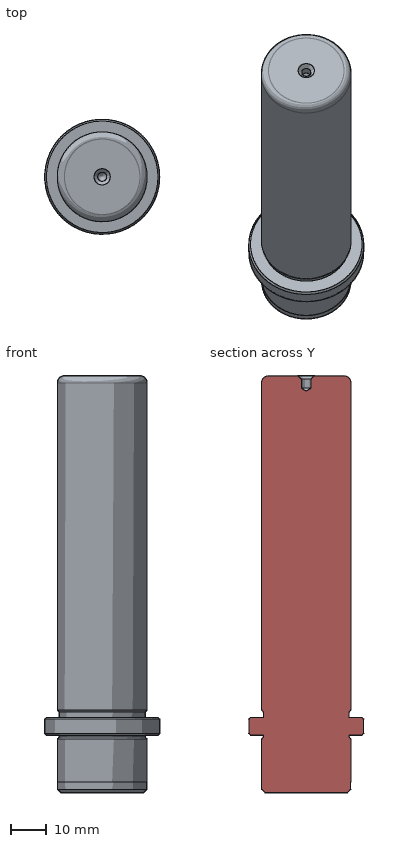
import cadquery as cq
import math

total_length = 116.0
collar_bottom = 16.0
collar_thickness = 5.0
collar_top = collar_bottom + collar_thickness

shaft_diameter = 25.0
neck_diameter = 24.0
pilot_diameter = 24.9
collar_diameter = 32.0

upper_neck_width = 2.0
lower_neck_width = 1.0

top_fillet = 2.0
collar_chamfer = 0.5
bottom_chamfer = 1.0
pilot_length = 3.0

centre_mouth_diameter = 4.5
centre_drill_diameter = 2.5
centre_cone_angle = 90.0
centre_drill_length = 2.5
centre_tip_angle = 120.0


def revolve_about_z(profile):
    """Turn a half-profile drawn on the XZ plane a full turn about the Z axis."""
    return profile.revolve(axisStart=(0, 0, 0), axisEnd=(0, 1, 0))


def make_body():
    """Revolve the stepped half-profile (radius, height) about the Z axis."""
    shaft_radius = shaft_diameter / 2
    neck_radius = neck_diameter / 2
    pilot_radius = pilot_diameter / 2
    collar_radius = collar_diameter / 2
    neck_depth = shaft_radius - neck_radius

    lower_shoulder = collar_bottom - lower_neck_width
    upper_shoulder = collar_top + upper_neck_width
    fillet_middle = top_fillet * (1 - math.sin(math.radians(45)))

    profile = (
        cq.Workplane("XZ")
        .lineTo(pilot_radius - bottom_chamfer, 0)
        .lineTo(pilot_radius, bottom_chamfer)
        .lineTo(pilot_radius, pilot_length)
        .lineTo(shaft_radius, pilot_length)
        .lineTo(shaft_radius, lower_shoulder)
        .lineTo(neck_radius, lower_shoulder + neck_depth)
        .lineTo(neck_radius, collar_bottom)
        .lineTo(collar_radius - collar_chamfer, collar_bottom)
        .lineTo(collar_radius, collar_bottom + collar_chamfer)
        .lineTo(collar_radius, collar_top - collar_chamfer)
        .lineTo(collar_radius - collar_chamfer, collar_top)
        .lineTo(neck_radius, collar_top)
        .lineTo(neck_radius, upper_shoulder - neck_depth)
        .lineTo(shaft_radius, upper_shoulder)
        .lineTo(shaft_radius, total_length - top_fillet)
        .threePointArc(
            (shaft_radius - fillet_middle, total_length - fillet_middle),
            (shaft_radius - top_fillet, total_length),
        )
        .lineTo(0, total_length)
        .close()
    )
    return revolve_about_z(profile)


def make_centre_hole():
    """Centre-drill cutter: conical mouth, short drill hole and conical tip."""
    mouth_radius = centre_mouth_diameter / 2
    drill_radius = centre_drill_diameter / 2
    cone_depth = (mouth_radius - drill_radius) / math.tan(math.radians(centre_cone_angle / 2))
    tip_depth = drill_radius / math.tan(math.radians(centre_tip_angle / 2))

    cone_end = total_length - cone_depth
    drill_end = cone_end - centre_drill_length

    profile = (
        cq.Workplane("XZ")
        .moveTo(0, total_length)
        .lineTo(mouth_radius, total_length)
        .lineTo(drill_radius, cone_end)
        .lineTo(drill_radius, drill_end)
        .lineTo(0, drill_end - tip_depth)
        .close()
    )
    return revolve_about_z(profile)


result = make_body().cut(make_centre_hole())